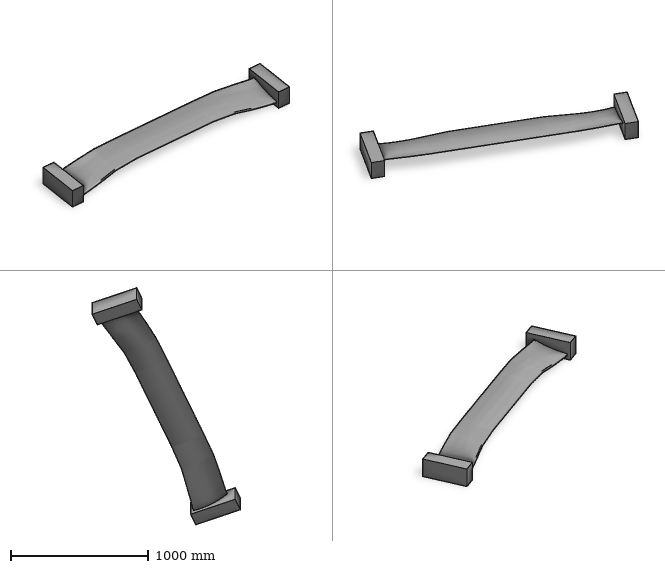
import cadquery as cq

LENGTH = 2000.0
BLOCK_WIDTH = 350.0
BLOCK_HEIGHT = 150.0
BLOCK_DEPTH = 100.0

BLOCK_FACE = LENGTH / 2 - BLOCK_DEPTH
COLLAR_END = 875.0
BLADE_ROOT = 865.0
BLADE_TAPER = 710.0
BLADE_SHOULDER = 555.0
BLADE_WAIST = 355.0

COLLAR_SECTION = (-115.0, 152.0, 35.0, -45.0, 60.0)
ROOT_SECTION = (-115.0, 148.0, 35.0, -45.0, 60.0)
TAPER_SECTION = (-132.0, 125.0, 42.0, -32.0, 55.0)
SHOULDER_SECTION = (-145.0, 105.0, 50.0, -8.0, 40.0)
WAIST_SECTION = (-148.0, 102.0, 52.0, 8.0, 25.0)

LEFT_EDGE_THICKNESS = 5.0
RIGHT_EDGE_THICKNESS = 15.0
TOP_SAG = 12.0


def section_wire(y, section):
    """Cambered outline at station y: thin left edge, rounded right edge."""
    left, right, top, bottom, drop = section
    edge_radius = RIGHT_EDGE_THICKNESS / 2
    right_center = right - edge_radius
    middle = (left + right_center) / 2
    right_top = top - drop
    top_middle = (top + right_top) / 2 - TOP_SAG
    outline = (
        cq.Workplane("XZ", origin=(0, y, 0))
        .moveTo(left, top)
        .threePointArc((middle, top_middle), (right_center, right_top))
        .tangentArcPoint((0, -RIGHT_EDGE_THICKNESS), relative=True)
        .threePointArc((middle, (top_middle + bottom) / 2 - edge_radius), (left, top - LEFT_EDGE_THICKNESS))
        .close()
    )
    return outline.val()


def loft(stations, ruled):
    wires = [section_wire(y, section) for y, section in stations]
    return cq.Workplane(cq.Solid.makeLoft(wires, ruled))


def end_block_and_collar(side):
    """End block with the short collar that carries the blade; side is +1 or -1."""
    block = cq.Workplane(
        "XY", origin=(0, side * (LENGTH - BLOCK_DEPTH) / 2, 0)
    ).box(BLOCK_WIDTH, BLOCK_DEPTH, BLOCK_HEIGHT)
    collar = loft(
        [
            (side * BLOCK_FACE, COLLAR_SECTION),
            (side * COLLAR_END, COLLAR_SECTION),
            (side * BLADE_ROOT, ROOT_SECTION),
        ],
        ruled=True,
    )
    return block.union(collar)


def blade_half(side):
    """Straight middle span, shoulder and curved, widening span towards one block."""
    straight = loft([(0, WAIST_SECTION), (side * BLADE_WAIST, WAIST_SECTION)], ruled=True)
    shoulder = loft(
        [(side * BLADE_WAIST, WAIST_SECTION), (side * BLADE_SHOULDER, SHOULDER_SECTION)],
        ruled=True,
    )
    curved = loft(
        [
            (side * BLADE_SHOULDER, SHOULDER_SECTION),
            (side * BLADE_TAPER, TAPER_SECTION),
            (side * BLADE_ROOT, ROOT_SECTION),
        ],
        ruled=False,
    )
    return straight.union(shoulder).union(curved)


result = blade_half(1).union(blade_half(-1))
for end_side in (1, -1):
    result = result.union(end_block_and_collar(end_side))